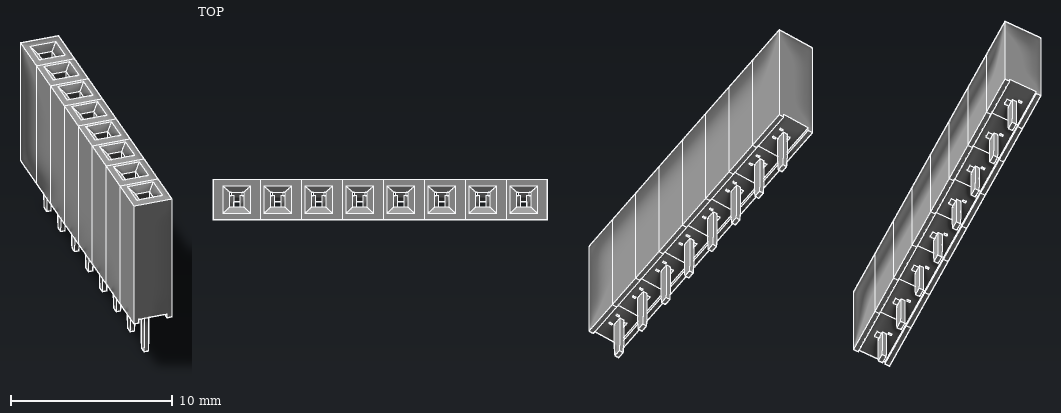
import cadquery as cq

MODULE_COUNT = 8
ROW_LENGTH = 20.72
WEB_WIDTH = 0.4
PITCH = (ROW_LENGTH - WEB_WIDTH) / MODULE_COUNT
CELL_WIDTH = PITCH - WEB_WIDTH
FIRST_PIN_X = -PITCH * (MODULE_COUNT - 1) / 2

HOUSING_DEPTH = 2.5
HOUSING_HEIGHT = 8.55
FOOT_WIDTH = 0.33
FOOT_HEIGHT = 0.27

MOUTH_SIZE = 1.7
THROAT_WIDTH = 0.87
THROAT_DEPTH = 0.91
FUNNEL_HEIGHT = 0.4
FUNNEL_FLOOR_Z = HOUSING_HEIGHT - FUNNEL_HEIGHT

PIN_WIDTH = 0.62
PIN_THICKNESS = 0.3
PIN_LENGTH = 2.95
TIP_WIDTH = 0.5
TIP_HEIGHT = 0.79

SHELF_WIDTH = 0.66
SHELF_TOP_Z = FOOT_HEIGHT + PIN_THICKNESS
ARM_GAP = 0.37
ARM_BACK_Y = 0.25
ARM_DROP = 1.04
ARM_TOP_Z = FUNNEL_FLOOR_Z - ARM_DROP
LEAD_IN_HEIGHT = 0.15
RAMP_HEIGHT = 0.4


def housing_block(x_start, x_end):
    """Length of plain housing with a foot along each long edge."""
    half_depth = HOUSING_DEPTH / 2
    recess_half = half_depth - FOOT_WIDTH
    return (
        cq.Workplane("YZ", origin=(x_start, 0, 0))
        .moveTo(-half_depth, HOUSING_HEIGHT)
        .lineTo(half_depth, HOUSING_HEIGHT)
        .lineTo(half_depth, 0)
        .lineTo(recess_half, 0)
        .lineTo(recess_half, FOOT_HEIGHT)
        .lineTo(-recess_half, FOOT_HEIGHT)
        .lineTo(-recess_half, 0)
        .lineTo(-half_depth, 0)
        .close()
        .extrude(x_end - x_start)
    )


def socket(x):
    """Void of one socket: square funnel above a straight throat that runs out of the underside."""
    funnel = (
        cq.Workplane("XY", origin=(x, 0, FUNNEL_FLOOR_Z))
        .rect(THROAT_WIDTH, THROAT_DEPTH)
        .workplane(offset=FUNNEL_HEIGHT)
        .rect(MOUTH_SIZE, MOUTH_SIZE)
        .loft(ruled=True)
    )
    throat = (
        cq.Workplane("XY", origin=(x, 0, 0))
        .rect(THROAT_WIDTH, THROAT_DEPTH)
        .extrude(FUNNEL_FLOOR_Z)
    )
    return funnel.union(throat)


def pin(x):
    """Flat solder pin with its sides tapered towards the tip."""
    taper_top_z = TIP_HEIGHT - PIN_LENGTH
    return (
        cq.Workplane("XZ", origin=(x, PIN_THICKNESS / 2, 0))
        .moveTo(-PIN_WIDTH / 2, FOOT_HEIGHT)
        .lineTo(PIN_WIDTH / 2, FOOT_HEIGHT)
        .lineTo(PIN_WIDTH / 2, taper_top_z)
        .lineTo(TIP_WIDTH / 2, -PIN_LENGTH)
        .lineTo(-TIP_WIDTH / 2, -PIN_LENGTH)
        .lineTo(-PIN_WIDTH / 2, taper_top_z)
        .close()
        .extrude(PIN_THICKNESS)
    )


def shelf(x):
    """Shelf from the rear throat wall to the pin, its front edge rounded where it bends down."""
    bend_start_y = PIN_THICKNESS / 2
    return (
        cq.Workplane("YZ", origin=(x - SHELF_WIDTH / 2, 0, 0))
        .moveTo(THROAT_DEPTH / 2, FOOT_HEIGHT)
        .lineTo(THROAT_DEPTH / 2, SHELF_TOP_Z)
        .lineTo(bend_start_y, SHELF_TOP_Z)
        .radiusArc((-PIN_THICKNESS / 2, FOOT_HEIGHT), -PIN_THICKNESS)
        .close()
        .extrude(SHELF_WIDTH)
    )


def spring_arm(x, side):
    """Arm on one throat wall (side is -1 or +1): slopes inwards, then drops to the housing floor."""
    wall_x = side * THROAT_WIDTH / 2
    knee_x = side * SHELF_WIDTH / 2
    gap_x = side * ARM_GAP / 2
    knee_z = ARM_TOP_Z - LEAD_IN_HEIGHT
    return (
        cq.Workplane("XZ", origin=(x, ARM_BACK_Y, 0))
        .moveTo(wall_x, ARM_TOP_Z)
        .lineTo(knee_x, knee_z)
        .lineTo(gap_x, knee_z - RAMP_HEIGHT)
        .lineTo(gap_x, FOOT_HEIGHT)
        .lineTo(wall_x, FOOT_HEIGHT)
        .close()
        .extrude(ARM_BACK_Y + THROAT_DEPTH / 2)
    )


def module(index):
    """One position of the row: housing cell with socket, contact and pin, and the web on its right."""
    x = FIRST_PIN_X + index * PITCH
    cell_left = x - CELL_WIDTH / 2
    cell_right = x + CELL_WIDTH / 2
    is_first = index == 0
    is_last = index == MODULE_COUNT - 1
    block_left = cell_left - WEB_WIDTH if is_first else cell_left
    block_right = cell_right + WEB_WIDTH if is_last else cell_right

    body = housing_block(block_left, block_right).cut(socket(x))
    body = body.union(shelf(x)).union(pin(x))
    for side in (-1, 1):
        body = body.union(spring_arm(x, side))
    if not is_last:
        web = housing_block(cell_right, cell_right + WEB_WIDTH)
        body = body.union(web, clean=False)
    return body.solids().val()


modules = []
for index in range(MODULE_COUNT):
    modules.append(module(index))

result = cq.Compound.makeCompound(modules)